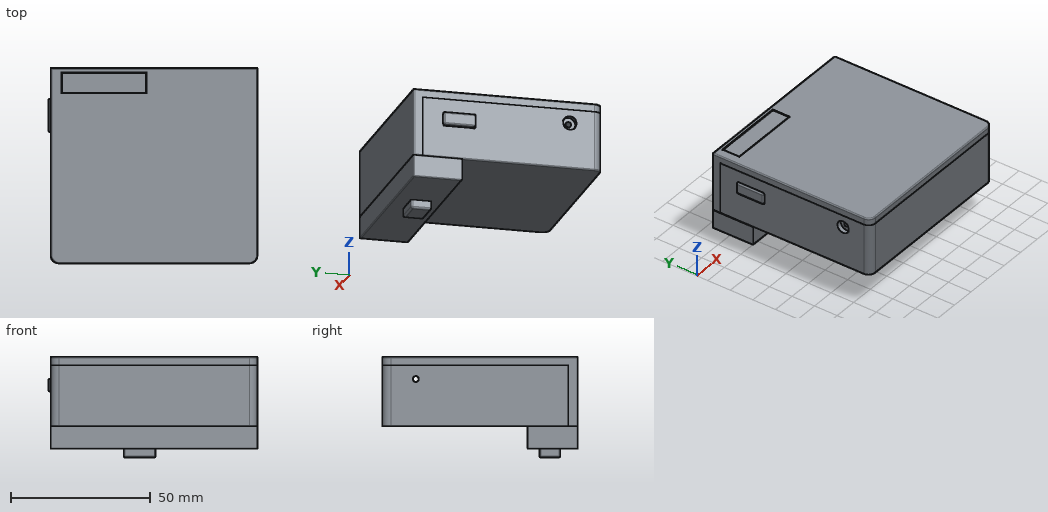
import cadquery as cq

CASE_LENGTH = 74.0
CASE_WIDTH = 70.0
CASE_HEIGHT = 25.0
LID_THICKNESS = 3.0
REAR_WALL_THICKNESS = 3.5
CORNER_RADIUS = 3.0
EDGE_RADIUS = 0.45

LEFT = -CASE_LENGTH / 2
FRONT = -CASE_WIDTH / 2
REAR = CASE_WIDTH / 2

FOOT_DEPTH = 18.0
FOOT_HEIGHT = 8.0
FOOT_EDGE_RADIUS = 0.4

LATCH_LENGTH = 11.5
LATCH_WIDTH = 7.55
LATCH_HEIGHT = 3.15
LATCH_CENTRE_X = -5.15
LATCH_TO_REAR = 10.0
LATCH_CENTRE_Y = REAR - LATCH_TO_REAR
LATCH_SIDE_RADIUS = 0.5
LATCH_TIP_RADIUS = 0.75

POCKET_WIDTH = 12.2
POCKET_HEIGHT = 5.2
POCKET_DEPTH = 1.5
POCKET_CORNER_RADIUS = 1.0
POCKET_CENTRE_Y = 17.95
POCKET_TO_TOP = 10.5
POCKET_CENTRE_Z = CASE_HEIGHT - POCKET_TO_TOP
BUTTON_SIDE_GAP = 0.15
BUTTON_TOP_GAP = 0.1
BUTTON_BOTTOM_GAP = 0.6
BUTTON_PROTRUSION = 0.75
BUTTON_EDGE_RADIUS = 0.5

PLATE_LENGTH = 30.0
PLATE_WIDTH = 7.0
PLATE_THICKNESS = 0.75
PLATE_SINK = 0.15
PLATE_GAP = 0.26
PLATE_TO_LEFT = 19.1
PLATE_TO_REAR = 5.4
PLATE_CENTRE_X = LEFT + PLATE_TO_LEFT
PLATE_CENTRE_Y = REAR - PLATE_TO_REAR
RECESS_FLOOR = CASE_HEIGHT - PLATE_SINK - PLATE_THICKNESS

HOLE_DIAMETER = 2.0
COUNTERBORE_DIAMETER = 5.0
COUNTERBORE_DEPTH = 2.0
HOLE_TO_FRONT = 12.0
HOLE_TO_TOP = 8.0
HOLE_Y = FRONT + HOLE_TO_FRONT
HOLE_Z = CASE_HEIGHT - HOLE_TO_TOP


def box(length, width, height, centre_x, centre_y, bottom_z):
    """Box centred on a point in X and Y, standing on bottom_z."""
    return (
        cq.Workplane("XY", origin=(centre_x, centre_y, bottom_z))
        .box(length, width, height, centered=(True, True, False))
    )


def make_case_block():
    """Outer block of the case, before it is split into cover and housing."""
    return (
        box(CASE_LENGTH, CASE_WIDTH, CASE_HEIGHT, 0, 0, 0)
        .edges("|Z and <Y").fillet(CORNER_RADIUS)
        .faces(">Z or <Z or >Y").edges().fillet(EDGE_RADIUS)
    )


def make_housing_space():
    """Region in front of the rear wall and below the lid."""
    return box(
        CASE_LENGTH,
        CASE_WIDTH - REAR_WALL_THICKNESS,
        CASE_HEIGHT - LID_THICKNESS,
        0,
        -REAR_WALL_THICKNESS / 2,
        0,
    )


def make_label_plate():
    return box(
        PLATE_LENGTH,
        PLATE_WIDTH,
        PLATE_THICKNESS,
        PLATE_CENTRE_X,
        PLATE_CENTRE_Y,
        RECESS_FLOOR,
    )


def make_cover():
    """Lid and rear wall in one piece, with the recess for the label plate."""
    recess = box(
        PLATE_LENGTH + 2 * PLATE_GAP,
        PLATE_WIDTH + 2 * PLATE_GAP,
        PLATE_THICKNESS + PLATE_SINK,
        PLATE_CENTRE_X,
        PLATE_CENTRE_Y,
        RECESS_FLOOR,
    )
    return make_case_block().cut(make_housing_space()).cut(recess)


def make_button_pocket():
    return (
        cq.Workplane("YZ", origin=(LEFT, POCKET_CENTRE_Y, POCKET_CENTRE_Z))
        .rect(POCKET_WIDTH, POCKET_HEIGHT)
        .extrude(POCKET_DEPTH)
        .edges("|X").fillet(POCKET_CORNER_RADIUS)
    )


def make_screw_hole():
    """Counterbore in the left wall and the small bore that continues to the right wall."""
    wall = cq.Workplane("YZ", origin=(LEFT, HOLE_Y, HOLE_Z))
    counterbore = wall.circle(COUNTERBORE_DIAMETER / 2).extrude(COUNTERBORE_DEPTH)
    bore = wall.circle(HOLE_DIAMETER / 2).extrude(CASE_LENGTH)
    return counterbore.union(bore)


def make_housing():
    return (
        make_case_block()
        .intersect(make_housing_space())
        .cut(make_button_pocket())
        .cut(make_screw_hole())
    )


def make_button():
    """Push button seated on the pocket floor."""
    width = POCKET_WIDTH - 2 * BUTTON_SIDE_GAP
    height = POCKET_HEIGHT - BUTTON_TOP_GAP - BUTTON_BOTTOM_GAP
    centre_z = POCKET_CENTRE_Z + (BUTTON_BOTTOM_GAP - BUTTON_TOP_GAP) / 2
    return (
        cq.Workplane("YZ", origin=(LEFT - BUTTON_PROTRUSION, POCKET_CENTRE_Y, centre_z))
        .rect(width, height)
        .extrude(BUTTON_PROTRUSION + POCKET_DEPTH)
        .edges("|X or <X").fillet(BUTTON_EDGE_RADIUS)
    )


def make_foot():
    return (
        box(CASE_LENGTH, FOOT_DEPTH, FOOT_HEIGHT, 0, REAR - FOOT_DEPTH / 2, -FOOT_HEIGHT)
        .edges("<Z or (|Z and >Y)").fillet(FOOT_EDGE_RADIUS)
    )


def make_latch():
    return (
        box(
            LATCH_LENGTH,
            LATCH_WIDTH,
            LATCH_HEIGHT,
            LATCH_CENTRE_X,
            LATCH_CENTRE_Y,
            -FOOT_HEIGHT - LATCH_HEIGHT,
        )
        .edges("<Z").fillet(LATCH_TIP_RADIUS)
        .edges("|Z").fillet(LATCH_SIDE_RADIUS)
    )


cover = make_cover()
housing = make_housing()
label_plate = make_label_plate()
button = make_button()
foot = make_foot()
latch = make_latch()

result = cq.Compound.makeCompound([
    cover.val(),
    housing.val(),
    label_plate.val(),
    button.val(),
    foot.val(),
    latch.val(),
])